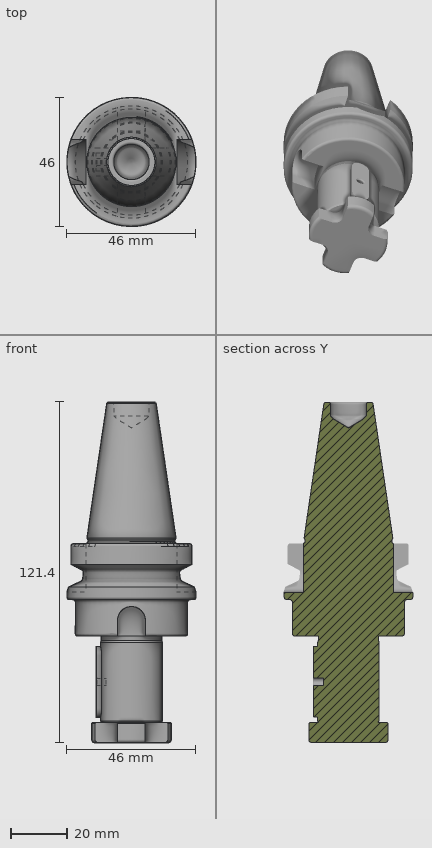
import cadquery as cq
import math

TOTAL_HEIGHT = 121.4
RING_TOP = 7.3
RELIEF_BOTTOM = 35.8
RELIEF_STEP_TOP = 36.5
NOSE_BOTTOM = 38.0
FLANGE_BOTTOM = 51.0
FLANGE_TOP = 71.0
GAUGE_HEIGHT = 73.0

SHANK_RADIUS = 11.0
RELIEF_RADIUS = 10.8
NOSE_RADIUS = 20.0
FLANGE_RADIUS = 46.0 / 2
GROOVE_RADIUS = 18.9
NECK_RADIUS = 15.5
GAUGE_RADIUS = 15.9
TAPER_SLOPE = 7 / 48

BODY_FILLET = 1.0
NECK_FILLET = 0.7
SMALL_CHAMFER = 0.5
GAUGE_STEP_HEIGHT = 0.7
EDGE_TOLERANCE = 0.06

GROOVE_LOWER_EDGE = 55.5
GROOVE_UPPER_EDGE = 63.6
GROOVE_FLOOR_BOTTOM = 57.8
GROOVE_FLOOR_TOP = 61.3

BORE_RADIUS = 6.3
BORE_STRAIGHT_DEPTH = 4.9
BORE_FLOOR_CHAMFER = 1.2
BORE_MOUTH_FILLET = 0.8
DRILL_POINT_ANGLE = 118.0

FLANGE_SLOT_WIDTH = 16.1
FLANGE_SLOT_FLOOR = 16.1
FLANGE_SLOT_BOTTOM = 53.7

NOSE_SLOT_WIDTH = 10.0
NOSE_SLOT_TOP = 48.5

RING_RADIUS = 14.2
LUG_WIDTH = 9.8
LUG_CORNER_REACH = 13.0
LUG_ROOT_RADIUS = 3.0
LUG_BOTTOM_FILLET = 1.2
LUG_TOP_CHAMFER = 0.4

KEY_OUTER_X = 12.6
KEY_WIDTH = 6.3
KEY_LENGTH = 25.3
KEY_CENTRE_Z = 21.7
KEY_SEAT_X = 8.5
KEY_HOLE_DIAMETER = 2.5
KEY_HOLE_DEPTH = 3.6
KEY_HOLE_CHAMFER = 0.4


def revolved(profile):
    """Revolve a closed (radius, height) outline about the Z axis."""
    return cq.Workplane("XZ").polyline(profile).close().revolve(360, (0, 0), (0, 1))


def ring_edge(radius, height):
    """Select the circular edge of the given radius at the given height."""
    reach = radius + EDGE_TOLERANCE
    inner = radius - EDGE_TOLERANCE
    lower = height - EDGE_TOLERANCE
    upper = height + EDGE_TOLERANCE
    whole = cq.selectors.BoxSelector((-reach, -reach, lower), (reach, reach, upper), boundingbox=True)
    smaller = cq.selectors.BoxSelector((-inner, -inner, lower), (inner, inner, upper), boundingbox=True)
    return whole - smaller


def turned_body():
    tip_radius = GAUGE_RADIUS - TAPER_SLOPE * (TOTAL_HEIGHT - GAUGE_HEIGHT)
    profile = [
        (0, RING_TOP),
        (SHANK_RADIUS - SMALL_CHAMFER, RING_TOP),
        (SHANK_RADIUS, RING_TOP + SMALL_CHAMFER),
        (SHANK_RADIUS, RELIEF_BOTTOM),
        (RELIEF_RADIUS, RELIEF_STEP_TOP),
        (RELIEF_RADIUS, NOSE_BOTTOM),
        (NOSE_RADIUS, NOSE_BOTTOM),
        (NOSE_RADIUS, FLANGE_BOTTOM),
        (FLANGE_RADIUS, FLANGE_BOTTOM),
        (FLANGE_RADIUS, GROOVE_LOWER_EDGE),
        (GROOVE_RADIUS, GROOVE_FLOOR_BOTTOM),
        (GROOVE_RADIUS, GROOVE_FLOOR_TOP),
        (FLANGE_RADIUS, GROOVE_UPPER_EDGE),
        (FLANGE_RADIUS, FLANGE_TOP),
        (NECK_RADIUS, FLANGE_TOP),
        (NECK_RADIUS, GAUGE_HEIGHT - GAUGE_STEP_HEIGHT),
        (GAUGE_RADIUS, GAUGE_HEIGHT),
        (tip_radius, TOTAL_HEIGHT - SMALL_CHAMFER),
        (tip_radius - SMALL_CHAMFER, TOTAL_HEIGHT),
        (0, TOTAL_HEIGHT),
    ]
    body = revolved(profile)
    rounded_edges = [
        (NOSE_RADIUS, NOSE_BOTTOM),
        (FLANGE_RADIUS, FLANGE_BOTTOM),
        (FLANGE_RADIUS, FLANGE_TOP),
        (NOSE_RADIUS, FLANGE_BOTTOM),
        (GROOVE_RADIUS, GROOVE_FLOOR_BOTTOM),
        (GROOVE_RADIUS, GROOVE_FLOOR_TOP),
    ]
    for radius, height in rounded_edges:
        body = body.edges(ring_edge(radius, height)).fillet(BODY_FILLET)
    return body.edges(ring_edge(NECK_RADIUS, FLANGE_TOP)).fillet(NECK_FILLET)


def drawbar_hole():
    chamfer_top = TOTAL_HEIGHT - BORE_STRAIGHT_DEPTH
    chamfer_bottom = chamfer_top - BORE_FLOOR_CHAMFER
    point_radius = BORE_RADIUS - BORE_FLOOR_CHAMFER
    point_depth = point_radius / math.tan(math.radians(DRILL_POINT_ANGLE / 2))
    profile = [
        (0, TOTAL_HEIGHT),
        (BORE_RADIUS, TOTAL_HEIGHT),
        (BORE_RADIUS, chamfer_top),
        (point_radius, chamfer_bottom),
        (0, chamfer_bottom - point_depth),
    ]
    return revolved(profile)


def flange_slots():
    half_width = FLANGE_SLOT_WIDTH / 2
    arc_centre_z = FLANGE_SLOT_BOTTOM + half_width
    outline = (
        cq.Workplane("YZ")
        .moveTo(-half_width, FLANGE_TOP)
        .lineTo(-half_width, arc_centre_z)
        .threePointArc((0, FLANGE_SLOT_BOTTOM), (half_width, arc_centre_z))
        .lineTo(half_width, FLANGE_TOP)
        .close()
    )
    slot = outline.extrude(FLANGE_RADIUS - FLANGE_SLOT_FLOOR).translate((FLANGE_SLOT_FLOOR, 0, 0))
    return slot.union(slot.mirror("YZ"))


def nose_slots():
    half_width = NOSE_SLOT_WIDTH / 2
    arc_centre_z = NOSE_SLOT_TOP - half_width
    outline = (
        cq.Workplane("XZ")
        .moveTo(-half_width, NOSE_BOTTOM)
        .lineTo(-half_width, arc_centre_z)
        .threePointArc((0, NOSE_SLOT_TOP), (half_width, arc_centre_z))
        .lineTo(half_width, NOSE_BOTTOM)
        .close()
    )
    slot = outline.extrude(NOSE_RADIUS - SHANK_RADIUS).translate((0, -SHANK_RADIUS, 0))
    return slot.union(slot.mirror("XZ"))


def drive_ring():
    half_width = LUG_WIDTH / 2
    bar = (
        cq.Workplane("XY")
        .moveTo(-LUG_CORNER_REACH, -half_width)
        .lineTo(LUG_CORNER_REACH, -half_width)
        .threePointArc((RING_RADIUS, 0), (LUG_CORNER_REACH, half_width))
        .lineTo(-LUG_CORNER_REACH, half_width)
        .threePointArc((-RING_RADIUS, 0), (-LUG_CORNER_REACH, -half_width))
        .close()
        .extrude(RING_TOP)
    )
    bar = bar.edges("%CIRCLE and <Z").fillet(LUG_BOTTOM_FILLET)
    bar = bar.edges("%CIRCLE and >Z").chamfer(LUG_TOP_CHAMFER)
    cross = bar.union(bar.rotate((0, 0, 0), (0, 0, 1), 90))
    root_corners = cq.selectors.BoxSelector(
        (-LUG_WIDTH, -LUG_WIDTH, 0),
        (LUG_WIDTH, LUG_WIDTH, RING_TOP),
    )
    return cross.edges("|Z").edges(root_corners).fillet(LUG_ROOT_RADIUS)


def key():
    return (
        cq.Workplane("YZ", origin=(-KEY_OUTER_X, 0, KEY_CENTRE_Z))
        .slot2D(KEY_LENGTH, KEY_WIDTH, 90)
        .extrude(KEY_OUTER_X - KEY_SEAT_X)
    )


def key_hole():
    hole_radius = KEY_HOLE_DIAMETER / 2
    face = cq.Workplane("YZ", origin=(-KEY_OUTER_X, 0, KEY_CENTRE_Z))
    countersink = (
        face.circle(hole_radius + KEY_HOLE_CHAMFER)
        .workplane(offset=KEY_HOLE_CHAMFER)
        .circle(hole_radius)
        .loft()
    )
    return face.circle(hole_radius).extrude(KEY_HOLE_DEPTH).union(countersink)


result = (
    turned_body()
    .cut(drawbar_hole())
    .edges(ring_edge(BORE_RADIUS, TOTAL_HEIGHT))
    .fillet(BORE_MOUTH_FILLET)
    .cut(flange_slots())
    .cut(nose_slots())
    .union(drive_ring())
    .union(key())
    .cut(key_hole())
)